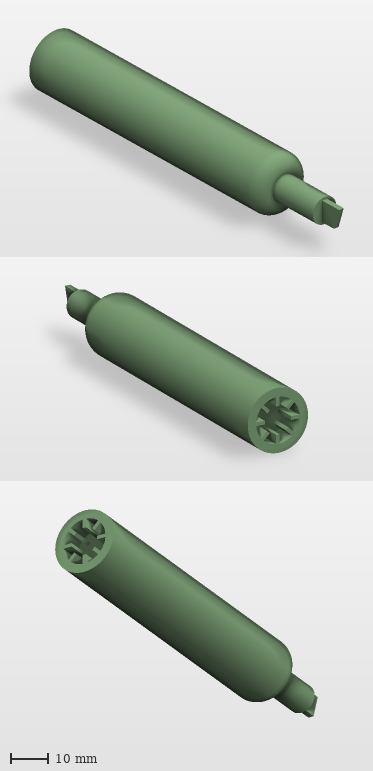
import cadquery as cq

total_length = 116.3
handle_length = 93.1
shaft_end = 109.4

handle_diameter = 18.4
nose_radius = 4.3
socket_diameter = 13.3
socket_depth = 7.0
rib_count = 8
rib_width = 1.0
rib_tip_diameter = 8.0

shaft_diameter = 8.3
blade_height = 6.6
blade_thickness = 1.6
blade_slant = 2.1


def rod(diameter, start, end):
    """Solid cylinder along X from start to end."""
    return cq.Workplane("YZ", origin=(start, 0, 0)).circle(diameter / 2).extrude(end - start)


def make_ribs():
    """Radial ribs inside the socket, with flat inner faces."""
    rib_inner = rib_tip_diameter / 2
    rib_outer = (socket_diameter + handle_diameter) / 4
    rib = cq.Workplane("XY").box(
        socket_depth, rib_outer - rib_inner, rib_width, centered=(False, False, True)
    ).translate((0, rib_inner, 0))
    return [
        rib.rotate((0, 0, 0), (1, 0, 0), index * 360 / rib_count)
        for index in range(rib_count)
    ]


def make_handle():
    """Round handle with a rounded nose and a ribbed blind socket at the back."""
    body = rod(handle_diameter, 0, handle_length).faces(">X").edges().fillet(nose_radius)
    body = body.cut(rod(socket_diameter, 0, socket_depth))
    for rib in make_ribs():
        body = body.union(rib)
    return body


def make_tip():
    """Shaft seated on the handle nose, carrying the blade on its free end."""
    shaft = rod(shaft_diameter, handle_length, shaft_end)
    half_height = blade_height / 2
    blade = (
        cq.Workplane("XZ")
        .polyline([
            (shaft_end, -half_height),
            (total_length - blade_slant, -half_height),
            (total_length, half_height),
            (shaft_end, half_height),
        ])
        .close()
        .extrude(blade_thickness / 2, both=True)
    )
    return shaft.union(blade)


handle = make_handle()
tip = make_tip()

result = cq.Compound.makeCompound([handle.val(), tip.val()])